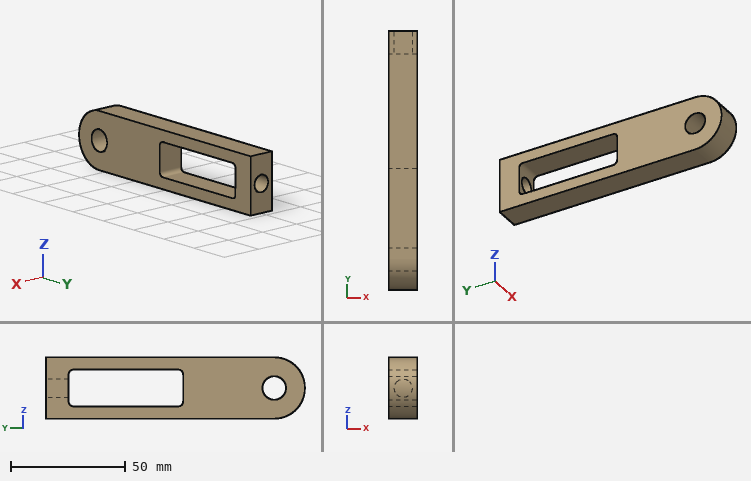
import cadquery as cq

length = 113.5
thickness = 12.6
height = 27.0
end_radius = height / 2

pivot_diameter = 10.2

end_wall = 10.0
window_length = 50.0
window_height = 16.0
window_corner_radius = 2.0

end_hole_diameter = 8.0

square_end_y = length - end_radius
window_center_y = square_end_y - end_wall - window_length / 2


def make_bar():
    """Flat bar, square at one end and fully rounded at the other."""
    return (
        cq.Workplane("YZ")
        .moveTo(0, end_radius)
        .lineTo(square_end_y, end_radius)
        .lineTo(square_end_y, -end_radius)
        .lineTo(0, -end_radius)
        .threePointArc((-end_radius, 0), (0, end_radius))
        .close()
        .extrude(thickness / 2, both=True)
    )


def make_pivot_hole():
    return cq.Workplane("YZ").circle(pivot_diameter / 2).extrude(thickness / 2, both=True)


def make_window():
    return (
        cq.Workplane("XY")
        .box(thickness, window_length, window_height)
        .edges("|X")
        .fillet(window_corner_radius)
        .translate((0, window_center_y, 0))
    )


def make_end_hole():
    """Lengthwise hole from the square end to the middle of the window."""
    return (
        cq.Workplane("XZ", origin=(0, square_end_y, 0))
        .circle(end_hole_diameter / 2)
        .extrude(end_wall + window_length / 2)
    )


result = make_bar().cut(make_pivot_hole()).cut(make_window()).cut(make_end_hole())